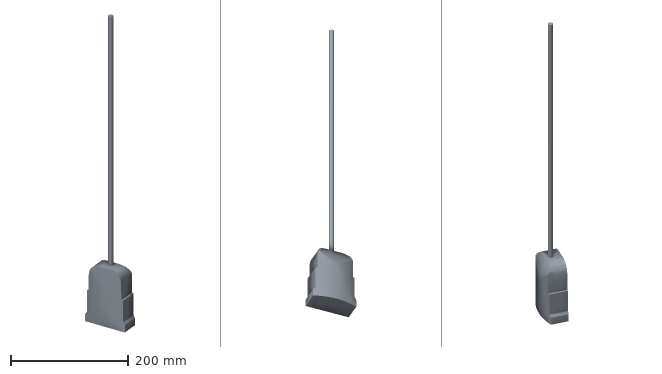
import cadquery as cq

total_height = 588.0
base_width = 80.0
body_depth = 40.0
body_height = 112.5

base_half = base_width / 2
base_height = 14.0
base_bevel_top = 19.0
waist_half = 36.5
shoulder_height = 60.0
upper_half = 33.0
curve_start_height = 72.5
corner_half = 27.5
corner_height = 105.0
flat_top_half = 12.0

side_depth = 32.5
top_depth = 26.5

rod_diameter = 9.0
rod_center_y = 19.0


def half_outline(side):
    """Points of the straight steps on one side (-1 left, 1 right), from the bottom up."""
    return [
        (side * base_half, 0),
        (side * base_half, base_height),
        (side * waist_half, base_bevel_top),
        (side * waist_half, shoulder_height),
        (side * upper_half, shoulder_height),
        (side * upper_half, curve_start_height),
    ]


def stepped_body():
    """Stepped front outline with smoothly rounded top corners, extruded toward +Y."""
    right_corner = [(corner_half, corner_height), (flat_top_half, body_height)]
    left_corner = [(-corner_half, corner_height), (-upper_half, curve_start_height)]
    return (
        cq.Workplane("XZ")
        .polyline(half_outline(1))
        .spline(right_corner, tangents=[(0, 1), (-1, 0)], includeCurrent=True)
        .lineTo(-flat_top_half, body_height)
        .spline(left_corner, tangents=[(-1, 0), (0, -1)], includeCurrent=True)
        .polyline(half_outline(-1)[-2::-1], includeCurrent=True)
        .close()
        .extrude(-body_depth)
    )


def crowned_back():
    """Envelope whose back bulges in an arc across the width."""
    return (
        cq.Workplane("XY")
        .moveTo(-base_half, 0)
        .lineTo(base_half, 0)
        .lineTo(base_half, side_depth)
        .threePointArc((0, body_depth), (-base_half, side_depth))
        .close()
        .extrude(body_height)
    )


def sloped_top():
    """Envelope whose back curves forward toward the top, tangent to the vertical."""
    return (
        cq.Workplane("YZ")
        .lineTo(body_depth, 0)
        .lineTo(body_depth, curve_start_height)
        .tangentArcPoint((top_depth, body_height), relative=False)
        .lineTo(0, body_height)
        .close()
        .extrude(base_half, both=True)
    )


def rod():
    """Round rod standing on the top of the body."""
    return (
        cq.Workplane("XY", origin=(0, rod_center_y, body_height))
        .circle(rod_diameter / 2)
        .extrude(total_height - body_height)
    )


body = stepped_body().intersect(crowned_back()).intersect(sloped_top())
result = body.union(rod())